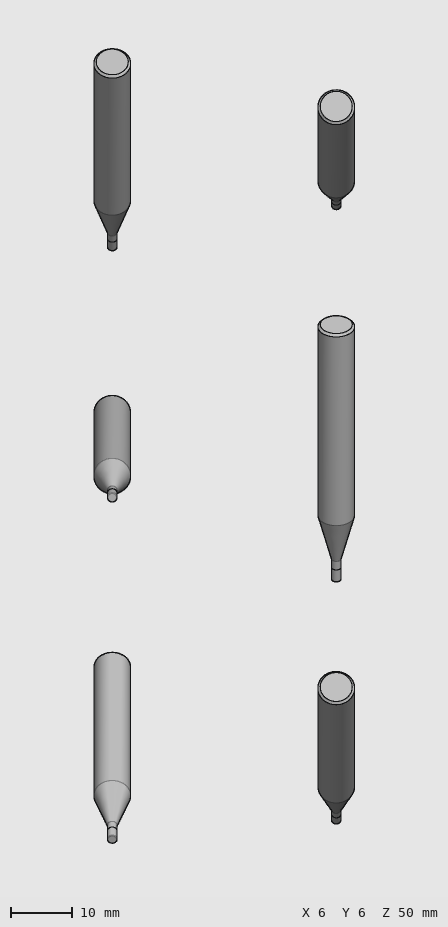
import cadquery as cq

total_length = 50.0
shank_diameter = 6.0
shank_chamfer = 0.4

tip_length = 2.4
neck_top = 4.05
cone_top = 12.6

neck_diameter = 1.6
tip_diameter = 1.6
tip_corner_radius = 0.1


def make_holder():
    """Revolved shank, tapering through a cone to a straight neck."""
    shank_radius = shank_diameter / 2
    neck_radius = neck_diameter / 2
    profile = (
        cq.Workplane("XZ")
        .moveTo(0, tip_length)
        .lineTo(neck_radius, tip_length)
        .lineTo(neck_radius, neck_top)
        .lineTo(shank_radius, cone_top)
        .lineTo(shank_radius, total_length - shank_chamfer)
        .lineTo(shank_radius - shank_chamfer, total_length)
        .lineTo(0, total_length)
        .close()
    )
    return profile.revolve(360, (0, 0), (0, 1))


def make_cutting_tip():
    """Cylindrical cutting tip with a rounded lower corner."""
    tip = cq.Workplane("XY").circle(tip_diameter / 2).extrude(tip_length)
    return tip.faces("<Z").edges().fillet(tip_corner_radius)


holder = make_holder()
cutting_tip = make_cutting_tip()

result = cq.Compound.makeCompound([holder.val(), cutting_tip.val()])